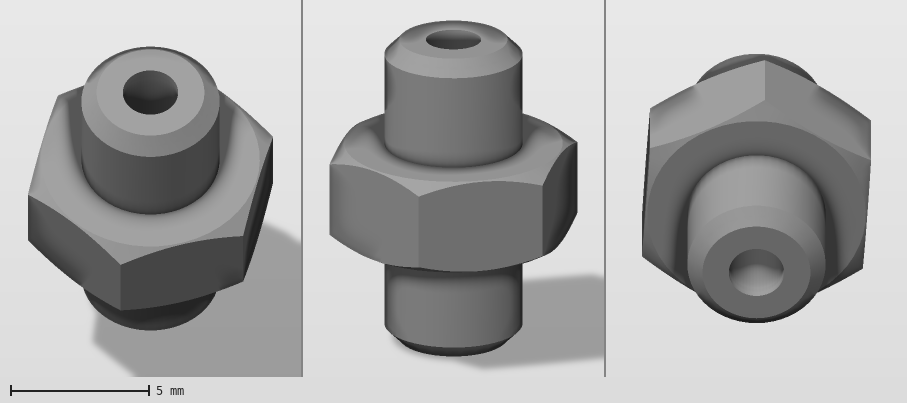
import cadquery as cq
import math

hex_sides = 6
hex_across_flats = 8.0
hex_height = 3.5
hex_face_diameter = 7.9
hex_chamfer_angle = 30.0
stud_diameter = 5.0
stud_length = 4.0
stud_chamfer = 0.55
bore_diameter = 2.0
corner_clearance = 0.5

hex_across_corners = hex_across_flats / math.cos(math.pi / hex_sides)
half_hex_height = hex_height / 2
total_height = hex_height + 2 * stud_length


def chamfered_hexagon():
    """Hexagon with corners on the X axis, trimmed by a cone at each end."""
    prism = (
        cq.Workplane("XY")
        .workplane(offset=-half_hex_height)
        .polygon(hex_sides, hex_across_corners)
        .extrude(hex_height)
    )
    face_radius = hex_face_diameter / 2
    outer_radius = hex_across_corners / 2 + corner_clearance
    cone_drop = (outer_radius - face_radius) * math.tan(math.radians(hex_chamfer_angle))
    shoulder = half_hex_height - cone_drop
    envelope = (
        cq.Workplane("XZ")
        .moveTo(0, -half_hex_height)
        .lineTo(face_radius, -half_hex_height)
        .lineTo(outer_radius, -shoulder)
        .lineTo(outer_radius, shoulder)
        .lineTo(face_radius, half_hex_height)
        .lineTo(0, half_hex_height)
        .close()
        .revolve(360, (0, 0, 0), (0, 1, 0))
    )
    return prism.intersect(envelope)


def stud():
    """Upper stud: a cylinder with a chamfered tip."""
    return (
        cq.Workplane("XY")
        .workplane(offset=half_hex_height)
        .circle(stud_diameter / 2)
        .extrude(stud_length)
        .faces(">Z")
        .chamfer(stud_chamfer)
    )


def bore():
    """Through bore along the Z axis."""
    return (
        cq.Workplane("XY")
        .workplane(offset=-total_height / 2)
        .circle(bore_diameter / 2)
        .extrude(total_height)
    )


upper_stud = stud()
lower_stud = upper_stud.mirror("XY")
result = chamfered_hexagon().union(upper_stud).union(lower_stud).cut(bore())